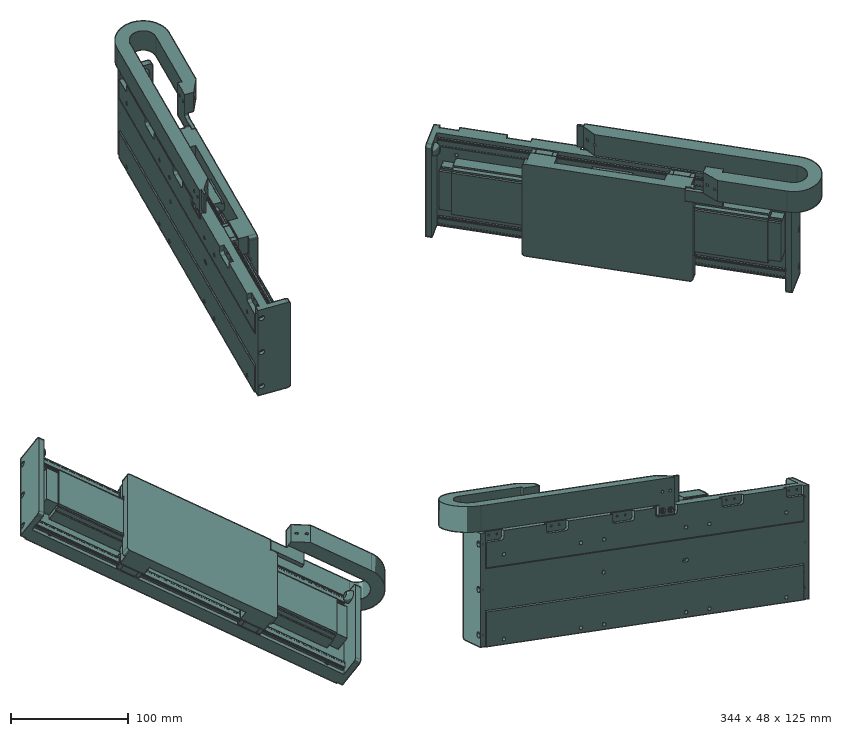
import cadquery as cq
import math


TOTAL_LENGTH = 344.0
STAGE_HEIGHT = 100.0
BASE_START = 24.0
MID_X = (BASE_START + TOTAL_LENGTH) / 2
MID_Z = STAGE_HEIGHT / 2
CORNER_RADIUS = 3.0

BASE_BACK = 11.7
FACE_STEP = 1.0
STRIP_EDGE_LOW = 30.5
STRIP_EDGE_HIGH = STAGE_HEIGHT - STRIP_EDGE_LOW
END_PLATE_THICK = 5.0
END_PLATE_BACK = 31.0
END_SCREW_Y = 4.5
END_SCREW_SPACING = 40.0
END_SCREW_DIA = 3.4
END_SCREW_HEAD_DIA = 5.0
END_SCREW_HEAD_DEPTH = 3.0
BUMPER_RADIUS = 6.0
BUMPER_LENGTH = 5.0
BUMPER_Y = 22.0
BUMPER_Z = 90.5

HOLE_DIA = 3.15
HOLE_OFFSETS_X = (40.0, 62.5, 137.5)
BLIND_HOLE_OFFSET_X = 40.0
HOLE_ROWS_Z = (4.5, 79.0)
DOWEL_DEPTH = 5.0
DOWEL_SLOT_LENGTH = 5.5

POCKET_WIDTH = 21.5
POCKET_DEPTH = 4.0
POCKET_BOTTOM = 92.0
POCKET_CENTRES_X = (98.8, 163.0, 204.8, 269.5)
END_POCKET_WIDTH = 17.2
CLAMP_HOLE_DIA = 1.6
CLAMP_HOLE_PITCH = 8.0
CLAMP_HOLE_Z = 96.7
CLAMP_HOLE_DEPTH = 5.0

RAIL_END_GAP = 1.5
RAIL_BACK = 16.0
RAIL_GROOVE_FRONT = 13.5
RAIL_GROOVE_BACK = 14.8
RAIL_GROOVE_DEPTH = 1.0
RAIL_WIDTH = 7.0
RAIL_OFFSET_Z = 42.3
BLOCK_FRONT = 12.0
BLOCK_BACK = 18.5
BLOCK_CHAMFER = 1.0
BLOCK_OFFSET_X = 60.2
BLOCK_LENGTH = 22.5
BLOCK_CORE_LENGTH = 14.8
BLOCK_WIDTH = 13.8
BLOCK_CAP_WIDTH = 13.0

YOKE_LENGTH = 298.7
YOKE_BACK = 26.0
YOKE_WIDTH = 41.3
TRACK_LENGTH = 276.5
TRACK_TIERS = ((22.0, 51.5), (26.0, 48.2), (28.2, 44.7))
RIDGE_FRONT = 20.0
RIDGE_BACK = 24.0
RIDGE_HEIGHT = 2.0
RIDGE_INSET = 1.0

CARRIAGE_LENGTH = 149.5
CARRIAGE_HEIGHT = 99.5
CARRIAGE_FRONT = 27.2
CARRIAGE_BACK = 35.0
TRACK_CLEARANCE = 0.7
LEG_LENGTH = 23.7
LEG_OFFSET_X = 60.0
LEG_WIDTH = 20.0
HEAD_START = 166.5
HEAD_END = 202.0
HEAD_FRONT = 16.2
HEAD_BACK = 24.8
HEAD_WIDTH = 12.5
HEAD_TOP = 93.0
HEAD_NOTCH_LENGTH = 4.0
HEAD_NOTCH_DEPTH = 3.0
HEAD_SPACER_INSET = 2.0
CABLE_DIA = 4.0
CABLE_LENGTH = 5.0
CABLE_Y = 19.5

CHAIN_BOTTOM = 102.2
CHAIN_TOP = 125.0
CHAIN_OUTER_RADIUS = 24.0
CHAIN_INNER_RADIUS = 11.7
CHAIN_DEPTH = 2 * CHAIN_OUTER_RADIUS
CHAIN_THICK = CHAIN_OUTER_RADIUS - CHAIN_INNER_RADIUS
FIXED_SLOPE_START = 201.0
FIXED_END = 212.5
LIP_END = 218.2
LIP_FRONT = 2.0
MOVING_SLOPE_START = 84.5
MOVING_END = 99.0
MOVING_END_BACK = 40.3
FOOT_START = 83.3
FOOT_FRONT = 32.0
TAB_START = 197.5
TAB_BOTTOM = 92.5
CHAIN_HOLE_DIA = 2.45
CHAIN_HOLE_Z = 113.5
CHAIN_HOLE_INSET = 4.0
CHAIN_HOLE_PITCH = 7.5
TAB_SCREW_DIA = 3.0
TAB_SCREW_HEAD_DIA = 5.0
TAB_SCREW_HEAD_DEPTH = 2.0
BRACKET_BACK = 35.5
BRACKET_BOTTOM = 86.7
BRACKET_TOP = 98.8
BRACKET_END = 116.3
BRACKET_FILLET = 3.0


def box(x0, x1, y0, y1, z0, z1):
    return cq.Workplane("XY").box(x1 - x0, y1 - y0, z1 - z0, centered=False).translate((x0, y0, z0))


def centred_box(x, length, y0, y1, z, height):
    return box(x - length / 2, x + length / 2, y0, y1, z - height / 2, z + height / 2)


def rod_y(x, z, diameter, y0, y1):
    axis = cq.Vector(0, 1, 0)
    return cq.Workplane(cq.Solid.makeCylinder(diameter / 2, y1 - y0, cq.Vector(x, y0, z), axis))


def rod_x(y, z, diameter, x0, x1):
    axis = cq.Vector(1, 0, 0)
    return cq.Workplane(cq.Solid.makeCylinder(diameter / 2, x1 - x0, cq.Vector(x0, y, z), axis))


INNER_START = BASE_START + END_PLATE_THICK
INNER_END = TOTAL_LENGTH - END_PLATE_THICK
RAIL_ROWS_Z = (MID_Z - RAIL_OFFSET_Z, MID_Z + RAIL_OFFSET_Z)
END_POCKETS_X = (INNER_START + END_POCKET_WIDTH / 2, INNER_END - END_POCKET_WIDTH / 2)


def front_strips():
    """Two raised strips with bevelled inner edges."""
    profile = [
        (0, STAGE_HEIGHT),
        (0, STRIP_EDGE_HIGH),
        (FACE_STEP, STRIP_EDGE_HIGH - FACE_STEP),
        (FACE_STEP, STAGE_HEIGHT),
    ]
    upper = (
        cq.Workplane("YZ").polyline(profile).close()
        .extrude(INNER_END - INNER_START).translate((INNER_START, 0, 0))
    )
    lower = upper.mirror("XY", (0, 0, MID_Z))
    return upper.union(lower)


def end_plate(start):
    plate = box(start, start + END_PLATE_THICK, FACE_STEP, END_PLATE_BACK, 0, STAGE_HEIGHT)
    return plate.edges("|X and >Y").fillet(CORNER_RADIUS)


def bumper(face_x, direction):
    """Flat-nosed rubber dome on the inner face of an end plate."""
    nose_radius = math.sqrt(BUMPER_RADIUS ** 2 - BUMPER_LENGTH ** 2)
    bulge = BUMPER_RADIUS * math.sqrt(0.5)
    dome = (
        cq.Workplane("XY").lineTo(0, BUMPER_RADIUS)
        .threePointArc((direction * bulge, bulge), (direction * BUMPER_LENGTH, nose_radius))
        .lineTo(direction * BUMPER_LENGTH, 0).close()
        .revolve(360, (0, 0), (1, 0))
    )
    return dome.translate((face_x, BUMPER_Y, BUMPER_Z))


def end_screw_holes():
    holes = cq.Workplane("XY")
    for row in (-1, 0, 1):
        z = MID_Z + row * END_SCREW_SPACING
        for face, inward in ((BASE_START, 1), (TOTAL_LENGTH, -1)):
            x0, x1 = sorted((face, face + inward * END_PLATE_THICK))
            h0, h1 = sorted((face, face + inward * END_SCREW_HEAD_DEPTH))
            holes = holes.add(rod_x(END_SCREW_Y, z, END_SCREW_DIA, x0, x1))
            holes = holes.add(rod_x(END_SCREW_Y, z, END_SCREW_HEAD_DIA, h0, h1))
    return holes.combine()


def mounting_holes():
    holes = cq.Workplane("XY")
    for z in HOLE_ROWS_Z:
        for offset in HOLE_OFFSETS_X:
            depth = DOWEL_DEPTH if offset == BLIND_HOLE_OFFSET_X else BASE_BACK
            for side in (-1, 1):
                holes = holes.add(rod_y(MID_X + side * offset, z, HOLE_DIA, 0, depth))
    dowel_hole = rod_y(MID_X - BLIND_HOLE_OFFSET_X, MID_Z, HOLE_DIA, 0, DOWEL_DEPTH)
    slot = (
        cq.Workplane("XZ").slot2D(DOWEL_SLOT_LENGTH, HOLE_DIA).extrude(-DOWEL_DEPTH)
        .translate((MID_X + BLIND_HOLE_OFFSET_X, 0, MID_Z))
    )
    return holes.add(dowel_hole).add(slot).combine()


def clamp_pocket(x, width, rounded_edges):
    pocket = box(x - width / 2, x + width / 2, 0, POCKET_DEPTH, POCKET_BOTTOM, STAGE_HEIGHT)
    pocket = pocket.edges(rounded_edges).fillet(CORNER_RADIUS)
    for side in (-1, 1):
        hole_x = x + side * CLAMP_HOLE_PITCH / 2
        hole = rod_y(hole_x, CLAMP_HOLE_Z, CLAMP_HOLE_DIA, 0, POCKET_DEPTH + CLAMP_HOLE_DEPTH)
        pocket = pocket.union(hole)
    return pocket


def guide_rail(length, z):
    """Rail with a running groove along both sides."""
    waist = RAIL_WIDTH - 2 * RAIL_GROOVE_DEPTH
    rail = centred_box(MID_X, length, BASE_BACK, RAIL_GROOVE_FRONT, z, RAIL_WIDTH)
    rail = rail.union(centred_box(MID_X, length, RAIL_GROOVE_FRONT, RAIL_GROOVE_BACK, z, waist))
    return rail.union(centred_box(MID_X, length, RAIL_GROOVE_BACK, RAIL_BACK, z, RAIL_WIDTH))


def make_base():
    base = box(INNER_START, INNER_END, FACE_STEP, BASE_BACK, 0, STAGE_HEIGHT)
    base = base.union(front_strips())
    for start in (BASE_START, INNER_END):
        base = base.union(end_plate(start))
    base = base.union(bumper(INNER_START, 1)).union(bumper(INNER_END, -1))
    rail_length = INNER_END - INNER_START - 2 * RAIL_END_GAP
    for z in RAIL_ROWS_Z:
        base = base.union(guide_rail(rail_length, z))
    base = base.cut(end_screw_holes()).cut(mounting_holes())
    for x in POCKET_CENTRES_X:
        base = base.cut(clamp_pocket(x, POCKET_WIDTH, "|Y and <Z"))
    base = base.cut(clamp_pocket(END_POCKETS_X[0], END_POCKET_WIDTH, "|Y and <Z and >X"))
    return base.cut(clamp_pocket(END_POCKETS_X[1], END_POCKET_WIDTH, "|Y and <Z and <X"))


def yoke_ridge():
    """Ridge along the top of the yoke, bevelled at the front."""
    foot = MID_Z + YOKE_WIDTH / 2
    crest = foot + RIDGE_HEIGHT
    profile = [
        (RIDGE_FRONT, foot),
        (RIDGE_FRONT + RIDGE_HEIGHT, crest),
        (RIDGE_BACK, crest),
        (RIDGE_BACK, foot),
    ]
    length = YOKE_LENGTH - 2 * RIDGE_INSET
    return (
        cq.Workplane("YZ").polyline(profile).close()
        .extrude(length).translate((MID_X - length / 2, 0, 0))
    )


def make_magnet_track():
    """Stepped track on a longer, ridged yoke."""
    track = centred_box(MID_X, YOKE_LENGTH, BASE_BACK, YOKE_BACK, MID_Z, YOKE_WIDTH)
    track = track.union(yoke_ridge())
    for back, width in TRACK_TIERS:
        track = track.union(centred_box(MID_X, TRACK_LENGTH, BASE_BACK, back, MID_Z, width))
    return track


def guide_block(x, z):
    """Block that straddles a rail, with a slightly narrower cap at each end."""
    core = centred_box(x, BLOCK_CORE_LENGTH, BLOCK_FRONT, BLOCK_BACK, z, BLOCK_WIDTH)
    core = core.edges("|X and >Y").chamfer(BLOCK_CHAMFER)
    caps = centred_box(x, BLOCK_LENGTH, BLOCK_FRONT, BLOCK_BACK, z, BLOCK_CAP_WIDTH)
    caps = caps.edges("|X and >Y").chamfer(BLOCK_CHAMFER)
    channel = centred_box(x, BLOCK_LENGTH, BLOCK_FRONT, RAIL_BACK, z, RAIL_WIDTH)
    return core.union(caps).cut(channel)


def encoder_head():
    """Notched sensor head with a cable stub, hung from the carriage by a smaller spacer."""
    bottom = HEAD_TOP - HEAD_WIDTH
    notch_end = HEAD_START + HEAD_NOTCH_LENGTH
    head = box(HEAD_START, HEAD_END, HEAD_FRONT, HEAD_BACK, bottom, HEAD_TOP)
    notch = box(HEAD_START, notch_end, HEAD_BACK - HEAD_NOTCH_DEPTH, HEAD_BACK, bottom, HEAD_TOP)
    spacer = box(
        notch_end, HEAD_END, HEAD_BACK, CARRIAGE_FRONT,
        bottom + HEAD_SPACER_INSET, HEAD_TOP - HEAD_SPACER_INSET,
    )
    cable_z = HEAD_TOP - HEAD_WIDTH / 2
    cable = rod_x(CABLE_Y, cable_z, CABLE_DIA, HEAD_END, HEAD_END + CABLE_LENGTH)
    return head.cut(notch).union(spacer).union(cable)


def make_carriage():
    carriage = centred_box(
        MID_X, CARRIAGE_LENGTH, CARRIAGE_FRONT, CARRIAGE_BACK, MID_Z, CARRIAGE_HEIGHT
    ).edges("|Y").fillet(CORNER_RADIUS)
    widest_tier = TRACK_TIERS[0][1]
    channel_back = TRACK_TIERS[-1][0] + TRACK_CLEARANCE
    channel = centred_box(
        MID_X, CARRIAGE_LENGTH, CARRIAGE_FRONT, channel_back, MID_Z, widest_tier
    )
    carriage = carriage.cut(channel)
    leg_offset_z = (CARRIAGE_HEIGHT - LEG_WIDTH) / 2
    for side_x in (-1, 1):
        for side_z in (-1, 1):
            leg = centred_box(
                MID_X + side_x * LEG_OFFSET_X, LEG_LENGTH,
                BLOCK_BACK, CARRIAGE_FRONT, MID_Z + side_z * leg_offset_z, LEG_WIDTH,
            )
            block = guide_block(MID_X + side_x * BLOCK_OFFSET_X, MID_Z + side_z * RAIL_OFFSET_Z)
            carriage = carriage.union(leg).union(block)
    carriage = carriage.union(encoder_head())
    recess = box(
        MOVING_END, BRACKET_END, FOOT_FRONT, BRACKET_BACK, BRACKET_BOTTOM, STAGE_HEIGHT
    )
    return carriage.cut(recess)


def chain_loop():
    outer, inner = CHAIN_OUTER_RADIUS, CHAIN_INNER_RADIUS
    middle = CHAIN_OUTER_RADIUS
    moving_leg_front = CHAIN_DEPTH - CHAIN_THICK
    return (
        cq.Workplane("XY", origin=(0, 0, CHAIN_BOTTOM))
        .moveTo(outer, 0)
        .lineTo(FIXED_END, 0)
        .lineTo(FIXED_END, LIP_FRONT)
        .lineTo(LIP_END, LIP_FRONT)
        .lineTo(LIP_END, POCKET_DEPTH)
        .lineTo(FIXED_END, POCKET_DEPTH)
        .lineTo(FIXED_SLOPE_START, CHAIN_THICK)
        .lineTo(outer, CHAIN_THICK)
        .threePointArc((outer - inner, middle), (outer, moving_leg_front))
        .lineTo(FOOT_START, moving_leg_front)
        .lineTo(FOOT_START, FOOT_FRONT)
        .lineTo(MOVING_END, FOOT_FRONT)
        .lineTo(MOVING_END, MOVING_END_BACK)
        .lineTo(MOVING_SLOPE_START, CHAIN_DEPTH)
        .lineTo(outer, CHAIN_DEPTH)
        .threePointArc((0, middle), (outer, 0))
        .close()
        .extrude(CHAIN_TOP - CHAIN_BOTTOM)
    )


def fixed_tab():
    """Tab that hangs from the fixed end into its pocket, with two counterbored screws."""
    tab = box(TAB_START, FIXED_END, 0, POCKET_DEPTH, TAB_BOTTOM, CHAIN_BOTTOM)
    for side in (-1, 1):
        x = (TAB_START + FIXED_END) / 2 + side * CLAMP_HOLE_PITCH / 2
        tab = tab.cut(rod_y(x, CLAMP_HOLE_Z, TAB_SCREW_DIA, 0, POCKET_DEPTH))
        tab = tab.cut(rod_y(x, CLAMP_HOLE_Z, TAB_SCREW_HEAD_DIA, 0, TAB_SCREW_HEAD_DEPTH))
    return tab


def moving_bracket():
    """L-shaped bracket from the moving end down into the carriage recess."""
    neck = box(FOOT_START, MOVING_END, FOOT_FRONT, BRACKET_BACK, BRACKET_BOTTOM, CHAIN_BOTTOM)
    arm = box(FOOT_START, BRACKET_END, FOOT_FRONT, BRACKET_BACK, BRACKET_BOTTOM, BRACKET_TOP)
    corner = cq.selectors.NearestToPointSelector(
        (MOVING_END, (FOOT_FRONT + BRACKET_BACK) / 2, BRACKET_TOP)
    )
    return neck.union(arm).edges("|Y").edges(corner).fillet(BRACKET_FILLET)


def make_chain():
    chain = chain_loop().union(fixed_tab()).union(moving_bracket())
    for end, front, back in ((FIXED_END, 0, CHAIN_THICK), (MOVING_END, FOOT_FRONT, CHAIN_DEPTH)):
        for index in (0, 1):
            x = end - CHAIN_HOLE_INSET - index * CHAIN_HOLE_PITCH
            chain = chain.cut(rod_y(x, CHAIN_HOLE_Z, CHAIN_HOLE_DIA, front, back))
    return chain


base = make_base()
magnet_track = make_magnet_track()
carriage = make_carriage()
chain = make_chain()

result = cq.Compound.makeCompound([base.val(), magnet_track.val(), carriage.val(), chain.val()])